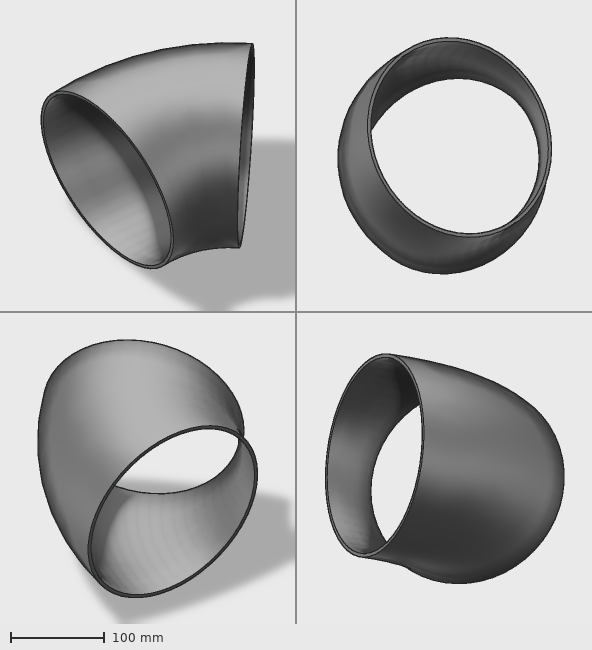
import cadquery as cq

outer_diameter = 219.0
wall = 4.0
bend_radius = 203.0
bend_angle = 45.0

inner_diameter = outer_diameter - 2 * wall

section = (
    cq.Workplane("XZ")
    .circle(outer_diameter / 2)
    .circle(inner_diameter / 2)
)

result = section.revolve(
    bend_angle,
    axisStart=(bend_radius, 2.5, 0),
    axisEnd=(bend_radius, 0, 0),
)